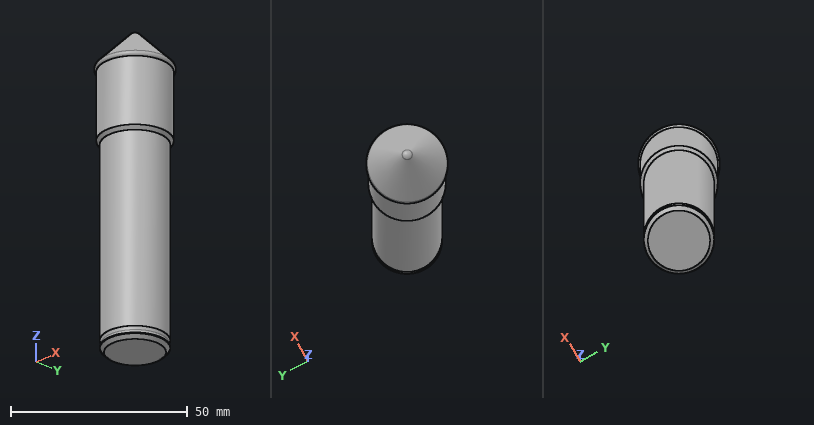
import cadquery as cq
import math

height = 100.0
shank_radius = 10.0
head_radius = 11.0
collar_radius = 11.6

tip_radius = 2.0
collar_round = 1.0
flank_angle = math.radians(44.5)

shoulder_bottom = 65.0
shoulder_height = 1.2

end_chamfer = 1.2
groove_bottom = 1.5
groove_top = 3.6
groove_depth = 0.2


def point_on_arc(center, radius, angle):
    """Point in the (radius, height) half plane at an angle above horizontal."""
    return (center[0] + radius * math.cos(angle), center[1] + radius * math.sin(angle))


tip_center = (0, height - tip_radius)
tip_tangent = point_on_arc(tip_center, tip_radius, flank_angle)
tip_middle = point_on_arc(tip_center, tip_radius, (flank_angle + math.pi / 2) / 2)

collar_center_radius = collar_radius - collar_round
flank_offset = (tip_radius - collar_round) / math.sin(flank_angle)
collar_center_height = tip_center[1] + flank_offset - collar_center_radius / math.tan(flank_angle)
collar_center = (collar_center_radius, collar_center_height)
collar_top = point_on_arc(collar_center, collar_round, flank_angle)
collar_end_angle = -math.acos((head_radius - collar_center_radius) / collar_round)
collar_bottom = point_on_arc(collar_center, collar_round, collar_end_angle)
collar_middle = point_on_arc(collar_center, collar_round, 0)

groove_half_height = (groove_top - groove_bottom) / 2
groove_radius = (groove_half_height**2 + groove_depth**2) / (2 * groove_depth)
groove_center = (
    shank_radius - groove_depth + groove_radius,
    groove_bottom + groove_half_height,
)
groove_half_angle = math.asin(groove_half_height / groove_radius)
groove_floor = point_on_arc(groove_center, groove_radius, math.pi)
groove_lower_middle = point_on_arc(groove_center, groove_radius, math.pi + groove_half_angle / 2)
groove_upper_middle = point_on_arc(groove_center, groove_radius, math.pi - groove_half_angle / 2)

profile = (
    cq.Workplane("XZ")
    .lineTo(shank_radius - end_chamfer, 0)
    .lineTo(shank_radius, end_chamfer)
    .lineTo(shank_radius, groove_bottom)
    .threePointArc(groove_lower_middle, groove_floor)
    .threePointArc(groove_upper_middle, (shank_radius, groove_top))
    .lineTo(shank_radius, shoulder_bottom)
    .lineTo(head_radius, shoulder_bottom + shoulder_height)
    .lineTo(*collar_bottom)
    .threePointArc(collar_middle, collar_top)
    .lineTo(*tip_tangent)
    .threePointArc(tip_middle, (0, height))
    .close()
)

result = profile.revolve(360, (0, 0, 0), (0, 1, 0), clean=False)